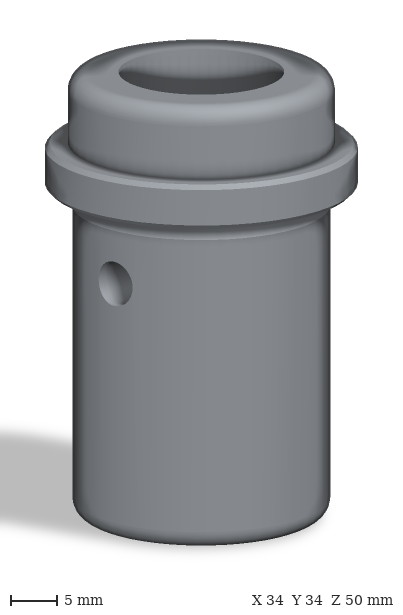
import cadquery as cq

total_height = 50.0
flange_top = 42.0
flange_height = 5.0
flange_bottom = flange_top - flange_height
neck_height = 2.0
neck_bottom = flange_bottom - neck_height

body_diameter = 28.0
collar_diameter = 29.0
flange_diameter = 34.0
neck_diameter = 26.7
bore_diameter = 18.0

end_rounding = 2.0
flange_chamfer = 0.5

cross_hole_diameter = 5.0
cross_hole_height = 29.0


def cylinder(diameter, bottom, height):
    return cq.Workplane("XY").workplane(offset=bottom).circle(diameter / 2).extrude(height)


body = cylinder(body_diameter, 0, neck_bottom).faces("<Z").edges().fillet(end_rounding)

neck_radius = neck_diameter / 2
body_radius = body_diameter / 2
flare = body_radius - neck_radius
neck_arc_radius = (neck_height**2 + flare**2) / (2 * flare)
neck = (
    cq.Workplane("XZ")
    .moveTo(0, neck_bottom)
    .lineTo(0, flange_bottom)
    .lineTo(neck_radius, flange_bottom)
    .radiusArc((body_radius, neck_bottom), -neck_arc_radius)
    .close()
    .revolve(360, (0, 0), (0, 1))
)

flange = cylinder(flange_diameter, flange_bottom, flange_height).edges().chamfer(flange_chamfer)

collar = cylinder(collar_diameter, flange_top, total_height - flange_top)
collar = collar.faces(">Z").edges().fillet(end_rounding)

bore = cylinder(bore_diameter, 0, total_height)

cross_hole = (
    cq.Workplane("XZ")
    .center(0, cross_hole_height)
    .circle(cross_hole_diameter / 2)
    .extrude(body_diameter)
)

result = body.union(neck).union(flange).union(collar).cut(bore).cut(cross_hole)